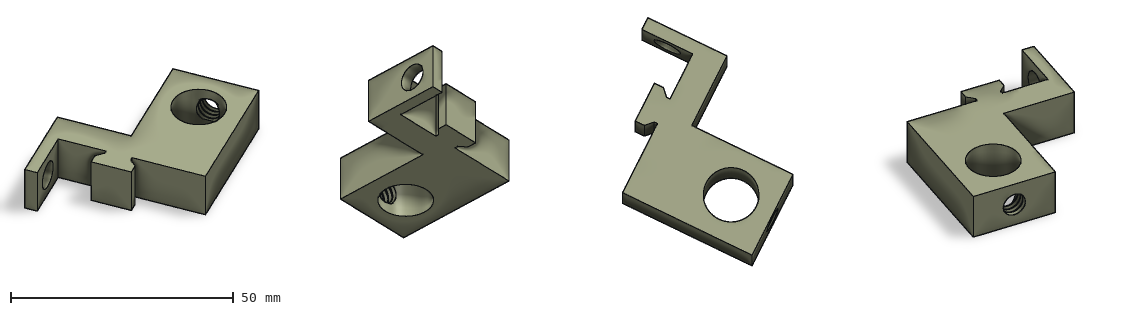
import cadquery as cq

length_x = 38.55
length_y = 45.15
height = 11.25

block_width = 20.7
bore_diameter = 12.45
block_left = length_x - block_width
bore_x = length_x - block_width / 2
bore_y = length_y - block_width / 2

arm_bottom = 12.73
arm_top = 19.8
plate_thickness = 3.02
plate_hole_diameter = 6.6
plate_hole_y = 6.35

rail_x = 17.7
neck_width = 6.3
head_width = 9.7
neck_bottom = 11.9
shoulder_y = 10.3
rail_bottom = 8.0

screw_hole_diameter = 5.5
thread_depth = 0.55
thread_pitch = 1.25
groove_width = 1.0
first_groove = 6.05
thread_count = 4


def make_body():
    """Extrude the bracket outline, including the dovetail rail."""
    half_neck = neck_width / 2
    half_head = head_width / 2
    outline = [
        (0, 0),
        (plate_thickness, 0),
        (plate_thickness, arm_bottom),
        (rail_x - half_neck, arm_bottom),
        (rail_x - half_neck, neck_bottom),
        (rail_x - half_head, shoulder_y),
        (rail_x - half_head, rail_bottom),
        (rail_x + half_head, rail_bottom),
        (rail_x + half_head, shoulder_y),
        (rail_x + half_neck, neck_bottom),
        (rail_x + half_neck, arm_bottom),
        (length_x, arm_bottom),
        (length_x, length_y),
        (block_left, length_y),
        (block_left, arm_top),
        (0, arm_top),
    ]
    return cq.Workplane("XY").polyline(outline).close().extrude(height)


def make_bore():
    """Vertical bore through the block."""
    return cq.Workplane("XY").center(bore_x, bore_y).circle(bore_diameter / 2).extrude(height)


def make_plate_hole():
    """Cross hole through the hanging plate along X."""
    return (
        cq.Workplane("YZ")
        .center(plate_hole_y, height / 2)
        .circle(plate_hole_diameter / 2)
        .extrude(plate_thickness)
    )


def make_screw_hole():
    """Threaded hole along Y, from the +Y face into the bore."""
    crest_radius = screw_hole_diameter / 2
    root_radius = crest_radius + thread_depth
    depth = length_y - bore_y
    profile = cq.Workplane("XY", origin=(bore_x, bore_y, height / 2)).lineTo(crest_radius, 0)
    for turn in range(thread_count):
        groove_middle = first_groove + turn * thread_pitch
        profile = profile.lineTo(crest_radius, groove_middle - groove_width / 2)
        profile = profile.lineTo(root_radius, groove_middle)
        profile = profile.lineTo(crest_radius, groove_middle + groove_width / 2)
    profile = profile.lineTo(crest_radius, depth).lineTo(0, depth).close()
    return profile.revolve(360, (0, 0), (0, 1))


result = make_body().cut(make_bore()).cut(make_plate_hole()).cut(make_screw_hole())